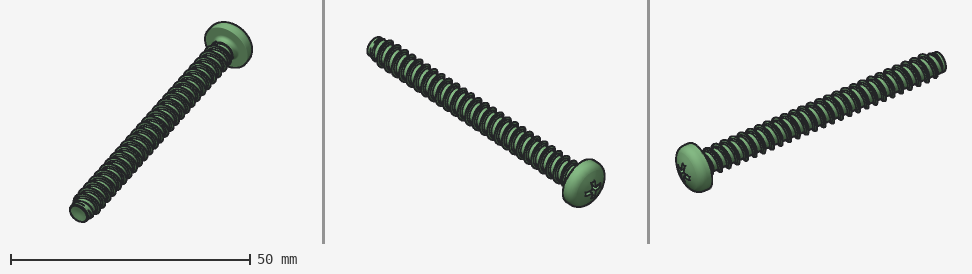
import cadquery as cq
import math


head_radius = 10.5 / 2
head_height = 4.15
crown_radius = 8.65
shoulder_radius = 2.0
rim_rounding = 0.1

recess_span = 4.4
recess_wing_width = 1.0
recess_depth = 2.0

shank_length = 60.0
core_radius = 2.25
neck_radius = 2.5
neck_length = 1.5
neck_fillet = 0.7
tip_chamfer = 0.2
tip_dish_depth = 0.28

thread_radius = 3.0
pitch = 2.14
first_crest_depth = 2.72
root_overlap = 0.1
root_half_width = 0.55
knee_height = 0.25
knee_half_width = 0.2
crest_half_width = 0.05
start_radius = 2.65
run_in_length = pitch
run_out_length = 2.3
envelope_margin = 0.05
run_out_clearance = 0.9


def make_head():
    """Revolved head: rim with a rounded lower edge, rounded shoulder and domed crown."""
    crown_center_z = head_height - crown_radius
    shoulder_center_r = head_radius - shoulder_radius
    crown_tilt = math.asin(shoulder_center_r / (crown_radius - shoulder_radius))
    rim_top_z = crown_center_z + (crown_radius - shoulder_radius) * math.cos(crown_tilt)

    def on_crown(tilt):
        return (crown_radius * math.sin(tilt), crown_center_z + crown_radius * math.cos(tilt))

    shoulder_tilt = (math.pi / 2 + crown_tilt) / 2
    shoulder_middle = (
        shoulder_center_r + shoulder_radius * math.sin(shoulder_tilt),
        rim_top_z + shoulder_radius * math.cos(shoulder_tilt),
    )
    return (
        cq.Workplane("XZ")
        .lineTo(head_radius - rim_rounding, 0)
        .tangentArcPoint((head_radius, rim_rounding), relative=False)
        .lineTo(head_radius, rim_top_z)
        .threePointArc(shoulder_middle, on_crown(crown_tilt))
        .threePointArc(on_crown(crown_tilt / 2), (0, head_height))
        .close()
        .revolve(360, (0, 0, 0), (0, 1, 0))
    )


def make_recess():
    """Cutter for the cross recess: two crossing slots sunk from the crown."""
    mouth = cq.Workplane("XY", origin=(0, 0, head_height))
    wing_along_x = mouth.rect(recess_span, recess_wing_width).extrude(-recess_depth)
    wing_along_y = mouth.rect(recess_wing_width, recess_span).extrude(-recess_depth)
    return wing_along_x.union(wing_along_y)


def make_shank():
    """Revolved core with a filleted neck under the head and a chamfered, dished tip."""
    fillet_start = (neck_radius + neck_fillet, 0)
    fillet_center_z = -neck_fillet
    fillet_reach = neck_fillet * (1 - math.sqrt(0.5))
    fillet_middle = (neck_radius + fillet_reach, -fillet_reach)
    return (
        cq.Workplane("XZ")
        .lineTo(*fillet_start)
        .threePointArc(fillet_middle, (neck_radius, fillet_center_z))
        .lineTo(neck_radius, -neck_length)
        .lineTo(core_radius, -neck_length)
        .lineTo(core_radius, tip_chamfer - shank_length)
        .lineTo(core_radius - tip_chamfer, -shank_length)
        .lineTo(0, tip_dish_depth - shank_length)
        .close()
        .revolve(360, (0, 0, 0), (0, 1, 0))
    )


def make_thread_envelope():
    """Revolved body that fades the thread in at the neck and out at the tip."""
    thread_end_z = run_out_clearance - shank_length
    run_in_slope = (thread_radius - start_radius) / run_in_length
    run_out_slope = (thread_radius - core_radius) / run_out_length
    outer_radius = thread_radius + envelope_margin
    inner_radius = core_radius - envelope_margin
    run_in_end_z = -neck_length - (outer_radius - start_radius) / run_in_slope
    return (
        cq.Workplane("XZ")
        .moveTo(0, -neck_length)
        .lineTo(start_radius, -neck_length)
        .lineTo(outer_radius, run_in_end_z)
        .lineTo(outer_radius, thread_end_z + (outer_radius - core_radius) / run_out_slope)
        .lineTo(inner_radius, thread_end_z - envelope_margin / run_out_slope)
        .lineTo(0, thread_end_z - envelope_margin / run_out_slope)
        .close()
        .revolve(360, (0, 0, 0), (0, 1, 0))
    )


def make_thread():
    """Right-handed ridge swept along a helix and trimmed at both ends."""
    turns_below_first_crest = math.ceil((shank_length - first_crest_depth) / pitch)
    start_z = -first_crest_depth - turns_below_first_crest * pitch
    turns = turns_below_first_crest + 1
    inner_radius = core_radius - root_overlap
    knee_radius = core_radius + knee_height
    root_slope = (root_half_width - knee_half_width) / knee_height
    inner_half_width = root_half_width + root_slope * root_overlap

    helix = cq.Wire.makeHelix(pitch, turns * pitch, core_radius).translate(cq.Vector(0, 0, start_z))
    ridge = (
        cq.Workplane("XZ")
        .polyline([
            (inner_radius, start_z - inner_half_width),
            (knee_radius, start_z - knee_half_width),
            (thread_radius, start_z - crest_half_width),
            (thread_radius, start_z + crest_half_width),
            (knee_radius, start_z + knee_half_width),
            (inner_radius, start_z + inner_half_width),
        ])
        .close()
        .sweep(cq.Workplane(obj=helix), isFrenet=True)
    )
    return ridge.intersect(make_thread_envelope())


head = make_head().cut(make_recess())
screw = head.union(make_shank()).union(make_thread())
result = screw.rotate((0, 0, 0), (1, 0, 0), -90)